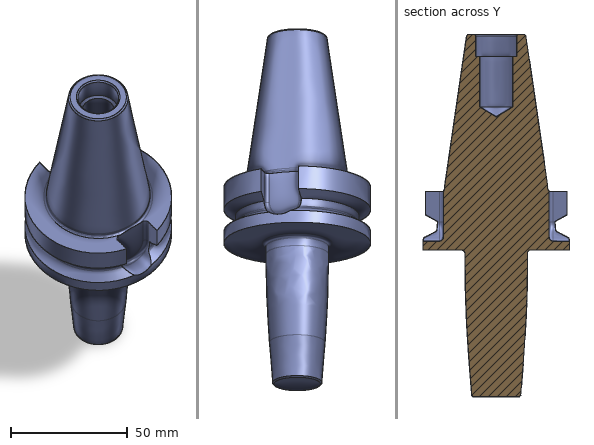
import cadquery as cq
import math

TOTAL_LENGTH = 155.4
TAPER_LENGTH = 65.5
NOSE_END = TAPER_LENGTH - TOTAL_LENGTH

GAUGE_RADIUS = 22.2
TAPER_SLOPE = 7 / 48
TAPER_TOP_CHAMFER = 0.6

FOOT_FILLET = 1.1

FLANGE_RADIUS = 63.0 / 2
FLANGE_TOP = -1.9
FLANGE_BOTTOM = -27.0
GROOVE_UPPER_EDGE = -12.0
GROOVE_LOWER_EDGE = -21.8
GROOVE_RADIUS = 26.5
GROOVE_FILLET = 1.1
GROOVE_FLANK_ANGLE = 30
SELECTION_MARGIN = 0.2

NOSE_RADIUS = 26.9 / 2
NOSE_ROOT_FILLET = 1.5
NOSE_CURVE_START = -32.0
NOSE_CONE_START = -71.5
NOSE_CONE_RADIUS = 12.0
NOSE_TIP_RADIUS = 10.5
NOSE_TIP_CHAMFER = 0.6

SLOT_WIDTH = 16.5
SLOT_FLOOR = 22.7
SLOT_FLOOR_FILLET = 1.7
SLOT_CENTER_HEIGHT = -14.9

BORE_RADIUS = 8.7
BORE_MOUTH_CHAMFER = 0.6
BORE_DEPTH = 9.5
INNER_BORE_RADIUS = 7.0
INNER_BORE_DEPTH = 31.1
DRILL_POINT_ANGLE = 118


def make_body():
    """Revolve the taper, flange and nose as one profile (X is radius, Y is height)."""
    taper_top_radius = GAUGE_RADIUS - TAPER_LENGTH * TAPER_SLOPE
    flank_height = (FLANGE_RADIUS - GROOVE_RADIUS) * math.tan(math.radians(GROOVE_FLANK_ANGLE))
    chamfer_start_radius = taper_top_radius + TAPER_TOP_CHAMFER * TAPER_SLOPE
    foot_center = (GAUGE_RADIUS + FOOT_FILLET, FLANGE_TOP + FOOT_FILLET)
    foot_middle = (
        foot_center[0] - FOOT_FILLET * math.sqrt(0.5),
        foot_center[1] - FOOT_FILLET * math.sqrt(0.5),
    )
    root_center = (NOSE_RADIUS + NOSE_ROOT_FILLET, FLANGE_BOTTOM - NOSE_ROOT_FILLET)
    root_middle = (
        root_center[0] - NOSE_ROOT_FILLET * math.sqrt(0.5),
        root_center[1] + NOSE_ROOT_FILLET * math.sqrt(0.5),
    )
    profile = (
        cq.Workplane("XZ")
        .moveTo(0, TAPER_LENGTH)
        .lineTo(taper_top_radius - TAPER_TOP_CHAMFER, TAPER_LENGTH)
        .lineTo(chamfer_start_radius, TAPER_LENGTH - TAPER_TOP_CHAMFER)
        .lineTo(GAUGE_RADIUS, 0)
        .lineTo(GAUGE_RADIUS, foot_center[1])
        .threePointArc(foot_middle, (foot_center[0], FLANGE_TOP))
        .lineTo(FLANGE_RADIUS, FLANGE_TOP)
        .lineTo(FLANGE_RADIUS, GROOVE_UPPER_EDGE)
        .lineTo(GROOVE_RADIUS, GROOVE_UPPER_EDGE - flank_height)
        .lineTo(GROOVE_RADIUS, GROOVE_LOWER_EDGE + flank_height)
        .lineTo(FLANGE_RADIUS, GROOVE_LOWER_EDGE)
        .lineTo(FLANGE_RADIUS, FLANGE_BOTTOM)
        .lineTo(root_center[0], FLANGE_BOTTOM)
        .threePointArc(root_middle, (NOSE_RADIUS, root_center[1]))
        .lineTo(NOSE_RADIUS, NOSE_CURVE_START)
        .tangentArcPoint((NOSE_CONE_RADIUS, NOSE_CONE_START), relative=False)
        .lineTo(NOSE_TIP_RADIUS, NOSE_END + NOSE_TIP_CHAMFER)
        .lineTo(NOSE_TIP_RADIUS - NOSE_TIP_CHAMFER, NOSE_END)
        .lineTo(0, NOSE_END)
        .close()
    )
    body = profile.revolve(360, (0, 0, 0), (0, 1, 0))
    corner_height = GROOVE_LOWER_EDGE + flank_height
    lower_corner = cq.selectors.BoxSelector(
        (-FLANGE_RADIUS, -FLANGE_RADIUS, corner_height - SELECTION_MARGIN),
        (FLANGE_RADIUS, FLANGE_RADIUS, corner_height + SELECTION_MARGIN),
        boundingbox=False,
    )
    return body.edges(lower_corner).fillet(GROOVE_FILLET)


def make_slot_cutter():
    """Round-ended key slot on +X, open at the top and outside, with a filleted floor."""
    half_width = SLOT_WIDTH / 2
    straight_height = FLANGE_TOP + FOOT_FILLET - SLOT_CENTER_HEIGHT
    return (
        cq.Workplane("YZ", origin=(SLOT_FLOOR, 0, SLOT_CENTER_HEIGHT))
        .moveTo(-half_width, straight_height)
        .lineTo(-half_width, 0)
        .threePointArc((0, -half_width), (half_width, 0))
        .lineTo(half_width, straight_height)
        .close()
        .extrude(FLANGE_RADIUS)
        .faces("<X")
        .edges("not >Z")
        .fillet(SLOT_FLOOR_FILLET)
    )


def make_bore_cutter():
    """Stepped blind bore with a chamfered mouth and a drill point."""
    mouth_radius = BORE_RADIUS + BORE_MOUTH_CHAMFER
    point_depth = INNER_BORE_RADIUS / math.tan(math.radians(DRILL_POINT_ANGLE / 2))
    return (
        cq.Workplane("XZ", origin=(0, 0, TAPER_LENGTH))
        .lineTo(mouth_radius, 0)
        .lineTo(BORE_RADIUS, -BORE_MOUTH_CHAMFER)
        .lineTo(BORE_RADIUS, -BORE_DEPTH)
        .lineTo(INNER_BORE_RADIUS, -BORE_DEPTH)
        .lineTo(INNER_BORE_RADIUS, -INNER_BORE_DEPTH)
        .lineTo(0, -INNER_BORE_DEPTH - point_depth)
        .close()
        .revolve(360, (0, 0, 0), (0, 1, 0))
    )


result = make_body().cut(make_bore_cutter())
slot_cutter = make_slot_cutter()
for side_angle in (0, 180):
    result = result.cut(slot_cutter.rotate((0, 0, 0), (0, 0, 1), side_angle))